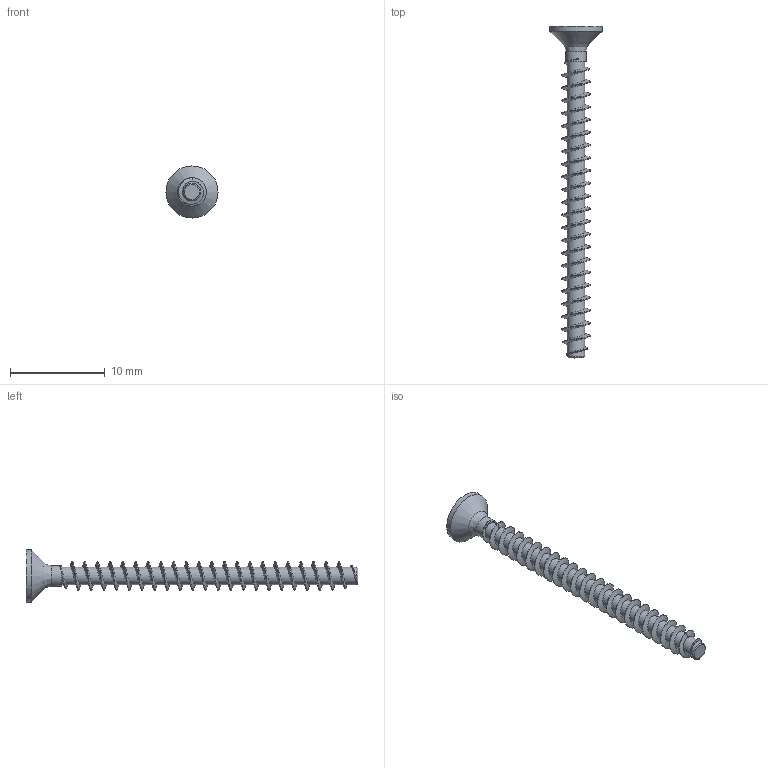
import cadquery as cq
import math

screw_length = 35.0

head_radius = 5.5 / 2
head_rim_height = 0.55
countersink_half_angle = 45.0
neck_radius = 2.2 / 2
neck_end_depth = 3.75
neck_fillet_radius = 1.1

core_radius = 1.85 / 2
tip_chamfer = 0.12

thread_radius = 3.0 / 2
thread_pitch = 1.34
full_thread_turns = 21
fade_turns = 1.5
tip_end_angle = 90.0
flank_half_angle = 15.0
crest_width = 0.05
root_overlap = 0.1

cone_height = (head_radius - neck_radius) / math.tan(math.radians(countersink_half_angle))
neck_corner_depth = head_rim_height + cone_height
thread_height = thread_radius - core_radius
tooth_height = thread_height + root_overlap
root_radius = core_radius - root_overlap
root_width = crest_width + 2 * tooth_height * math.tan(math.radians(flank_half_angle))
fade_length = fade_turns * thread_pitch
fade_angle = math.degrees(math.atan(thread_height / fade_length))
full_thread_length = full_thread_turns * thread_pitch
thread_length = full_thread_length + 2 * fade_length


def make_body():
    """Head, neck and core along Z, with the head's top face at Z = 0."""
    head_and_neck = (
        cq.Workplane("XZ")
        .polyline([
            (0, 0),
            (head_radius, 0),
            (head_radius, -head_rim_height),
            (neck_radius, -neck_corner_depth),
            (neck_radius, -neck_end_depth),
            (0, -neck_end_depth),
        ])
        .close()
        .revolve(360, (0, 0), (0, 1))
    )
    head_and_neck = (
        head_and_neck
        .edges(cq.selectors.NearestToPointSelector((0, 0, -neck_corner_depth)))
        .fillet(neck_fillet_radius)
    )
    core = (
        cq.Workplane("XY", origin=(0, 0, -screw_length))
        .circle(core_radius)
        .extrude(screw_length - neck_corner_depth)
        .faces("<Z")
        .chamfer(tip_chamfer)
    )
    return head_and_neck.union(core)


def helix(radius, base_height, turns, cone_angle):
    """Helix around Z whose radius grows upwards at cone_angle (0 for a cylinder)."""
    base = cq.Vector(0, 0, base_height)
    if cone_angle == 0:
        return cq.Wire.makeHelix(thread_pitch, turns * thread_pitch, radius, base)
    slant_pitch = thread_pitch / math.cos(math.radians(cone_angle))
    return cq.Wire.makeHelix(slant_pitch, turns * slant_pitch, radius, base, angle=cone_angle)


def tooth_corners(inward_shift, height):
    """(radius, height) of the tooth's corners, moved inward by inward_shift."""
    root = root_radius - inward_shift
    crest = thread_radius - inward_shift
    return [
        (root, height - root_width / 2),
        (crest, height - crest_width / 2),
        (crest, height + crest_width / 2),
        (root, height + root_width / 2),
    ]


def thread_faces(inward_shift, height, turns, cone_angle):
    """The four helical faces of one stretch of thread starting at the given height."""
    start_angle = 360.0 * height / thread_pitch
    curves = [helix(r, z, turns, cone_angle) for r, z in tooth_corners(inward_shift, height)]
    faces = []
    for index, curve in enumerate(curves):
        edges = curve.Edges() + curves[index - 1].Edges()
        face = cq.Face.makeRuledSurface(*edges)
        faces.append(face.rotate(cq.Vector(0, 0, 0), cq.Vector(0, 0, 1), start_angle))
    return faces


def tooth_cap(inward_shift, height):
    """Flat face closing the thread at one of its ends (a whole number of turns apart)."""
    points = [cq.Vector(r, 0, z) for r, z in tooth_corners(inward_shift, height)]
    return cq.Face.makeFromWires(cq.Wire.makePolygon(points, close=True))


def make_thread():
    """Thread along Z: fade-in at the tip, full turns, fade-out into the neck."""
    faces = thread_faces(thread_height, 0, fade_turns, fade_angle)
    faces += thread_faces(0, fade_length, full_thread_turns, 0)
    faces += thread_faces(0, fade_length + full_thread_length, fade_turns, -fade_angle)
    faces.append(tooth_cap(thread_height, 0))
    faces.append(tooth_cap(thread_height, thread_length))
    thread = cq.Solid.makeSolid(cq.Shell.makeShell(faces))
    return (
        cq.Workplane(thread)
        .rotate((0, 0, 0), (0, 0, 1), tip_end_angle)
        .translate((0, 0, -screw_length))
    )


def make_envelope():
    """Cylinder as wide and long as the whole screw, which trims the thread flush with the tip."""
    return cq.Workplane("XY").circle(head_radius).extrude(-screw_length)


thread = make_thread().intersect(make_envelope())
screw = make_body().union(thread)

result = screw.rotate((0, 0, 0), (1, 0, 0), -90).solids()